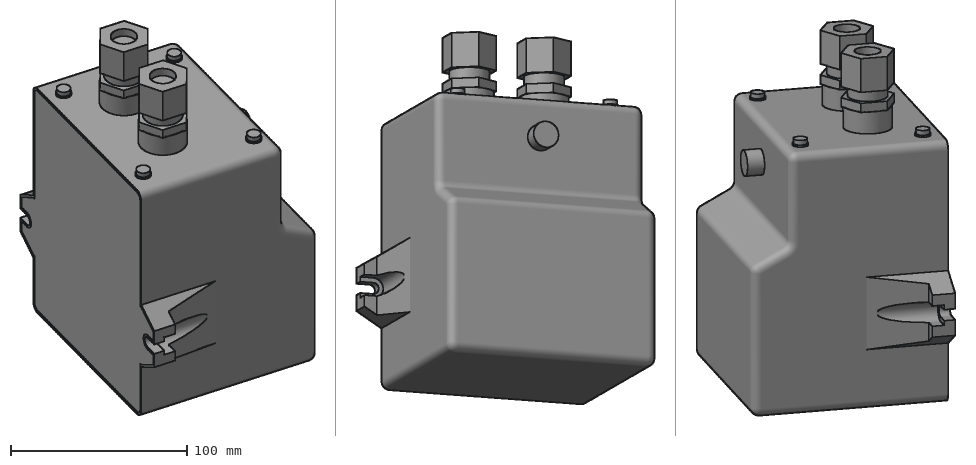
import cadquery as cq
import math

HOUSING_WIDTH = 125.0
HOUSING_DEPTH = 115.0
HOUSING_HEIGHT = 155.0
UPPER_DEPTH = 93.0
SHOULDER_TOP_Z = 99.9
SHOULDER_ANGLE = 27.0
EDGE_RADIUS = 5.0

RIM_WIDTH = 1.5
RECESS_DEPTH = 0.1

EAR_SPAN = 155.0
EAR_Z = 57.0
EAR_ROOT_HEIGHT = 43.0
EAR_TIP_HEIGHT = 25.0
EAR_THICKNESS = 13.5
EAR_OVERLAP = 10.0
EAR_LEDGE = 7.5
GUSSET_TOP_Y = 48.0
SLOT_CENTRE_X = 69.7
SLOT_WIDTH = 6.5
COUNTERBORE_WIDTH = 12.0
COUNTERBORE_FLOOR_Y = 6.5

GLAND_SPACING = 45.0
GLAND_Y = 36.5
GLAND_BASE_DIAMETER = 28.0
GLAND_BASE_HEIGHT = 13.0
GLAND_HEX_FLATS = 27.0
GLAND_COLLAR_HEIGHT = 5.5
GLAND_NECK_DIAMETER = 23.0
GLAND_NECK_HEIGHT = 6.5
GLAND_NUT_HEIGHT = 20.0
CABLE_HOLE_DIAMETER = 15.0
CABLE_HOLE_DEPTH = 5.0

SCREW_SPACING_X = 92.0
SCREW_ROWS_Y = (10.5, 82.5)
WASHER_DIAMETER = 9.0
WASHER_HEIGHT = 1.0
SCREW_HEAD_DIAMETER = 8.0
SCREW_HEIGHT = 3.8

BOSS_DIAMETER = 15.0
BOSS_LENGTH = 10.0
BOSS_Z = 132.0


def make_housing():
    """Stepped box, rounded on every edge except those of the mounting face."""
    shoulder_drop = (HOUSING_DEPTH - UPPER_DEPTH) * math.tan(math.radians(SHOULDER_ANGLE))
    block = (
        cq.Workplane("YZ")
        .moveTo(0, 0)
        .lineTo(HOUSING_DEPTH, 0)
        .lineTo(HOUSING_DEPTH, SHOULDER_TOP_Z - shoulder_drop)
        .lineTo(UPPER_DEPTH, SHOULDER_TOP_Z)
        .lineTo(UPPER_DEPTH, HOUSING_HEIGHT)
        .lineTo(0, HOUSING_HEIGHT)
        .close()
        .extrude(HOUSING_WIDTH / 2, both=True)
    )
    return block.edges("not(<Y)").fillet(EDGE_RADIUS)


def slot_cutter(width, start_y, end_y):
    """Round-ended cutter along Y, open at the tip of the +X ear."""
    length = EAR_SPAN / 2 - SLOT_CENTRE_X + width
    centre = (SLOT_CENTRE_X, start_y, EAR_Z)
    bore = cq.Workplane("XZ", origin=centre).circle(width / 2).extrude(start_y - end_y)
    channel = (
        cq.Workplane("XZ", origin=centre)
        .center(length / 2, 0)
        .rect(length, width)
        .extrude(start_y - end_y)
    )
    return bore.union(channel)


def ear_outline():
    """Tapered outline of the +X ear in the mounting plane, reaching into the housing."""
    wall_x = HOUSING_WIDTH / 2
    inner_x = wall_x - EAR_OVERLAP
    tip_x = EAR_SPAN / 2
    root = EAR_ROOT_HEIGHT / 2
    tip = EAR_TIP_HEIGHT / 2
    return (
        cq.Workplane("XZ", origin=(0, 0, EAR_Z))
        .polyline([(inner_x, -root), (wall_x, -root), (tip_x, -tip),
                   (tip_x, tip), (wall_x, root), (inner_x, root)])
        .close()
    )


def make_ear():
    """The +X ear: flat at the tip, rising to the housing wall as a sloping gusset."""
    wall_x = HOUSING_WIDTH / 2
    inner_x = wall_x - EAR_OVERLAP
    tip_x = EAR_SPAN / 2
    side_profile = (
        cq.Workplane("XY", origin=(0, 0, EAR_Z))
        .polyline([(inner_x, 0), (tip_x, 0), (tip_x, EAR_THICKNESS),
                   (tip_x - EAR_LEDGE, EAR_THICKNESS), (wall_x, GUSSET_TOP_Y),
                   (inner_x, GUSSET_TOP_Y)])
        .close()
        .extrude(EAR_ROOT_HEIGHT / 2, both=True)
    )
    return ear_outline().extrude(-GUSSET_TOP_Y).intersect(side_profile)


def mirrored(shape):
    """The shape together with its mirror image across X = 0."""
    return shape.union(shape.mirror("YZ"))


def make_enclosure():
    """Housing with both slotted ears."""
    slot = slot_cutter(SLOT_WIDTH, 0, GUSSET_TOP_Y)
    counterbore = slot_cutter(COUNTERBORE_WIDTH, COUNTERBORE_FLOOR_Y, GUSSET_TOP_Y)
    return make_housing().union(mirrored(make_ear())).cut(mirrored(slot.union(counterbore)))


def make_recess():
    """Cutter for the mounting-face recess: the outline inset by the rim width."""
    panel = (
        cq.Workplane("XZ", origin=(0, 0, HOUSING_HEIGHT / 2))
        .rect(HOUSING_WIDTH - 2 * RIM_WIDTH, HOUSING_HEIGHT - 2 * RIM_WIDTH)
        .extrude(-RECESS_DEPTH)
        .edges("|Y")
        .fillet(EDGE_RADIUS - RIM_WIDTH)
    )
    ear = ear_outline().offset2D(-RIM_WIDTH).extrude(-RECESS_DEPTH)
    slot_surround = slot_cutter(SLOT_WIDTH + 2 * RIM_WIDTH, 0, RECESS_DEPTH)
    return panel.union(mirrored(ear)).cut(mirrored(slot_surround))


def make_gland():
    """Cable gland standing on Z = 0: base, hex collar, neck and hex nut."""
    hex_corners = GLAND_HEX_FLATS / math.cos(math.pi / 6)
    collar_z = GLAND_BASE_HEIGHT
    neck_z = collar_z + GLAND_COLLAR_HEIGHT
    nut_z = neck_z + GLAND_NECK_HEIGHT
    top_z = nut_z + GLAND_NUT_HEIGHT

    def hexagon(z, height):
        prism = cq.Workplane("XY").polygon(6, hex_corners).extrude(height)
        return prism.rotate((0, 0, 0), (0, 0, 1), 90).translate((0, 0, z))

    base = cq.Workplane("XY").circle(GLAND_BASE_DIAMETER / 2).extrude(GLAND_BASE_HEIGHT)
    neck = (
        cq.Workplane("XY", origin=(0, 0, neck_z))
        .circle(GLAND_NECK_DIAMETER / 2)
        .extrude(GLAND_NECK_HEIGHT)
    )
    hole = (
        cq.Workplane("XY", origin=(0, 0, top_z))
        .circle(CABLE_HOLE_DIAMETER / 2)
        .extrude(-CABLE_HOLE_DEPTH)
    )
    collar = hexagon(collar_z, GLAND_COLLAR_HEIGHT)
    nut = hexagon(nut_z, GLAND_NUT_HEIGHT)
    return base.union(collar).union(neck).union(nut).cut(hole)


def make_screw():
    """Screw head on its washer, standing on Z = 0."""
    washer = cq.Workplane("XY").circle(WASHER_DIAMETER / 2).extrude(WASHER_HEIGHT)
    head = cq.Workplane("XY").circle(SCREW_HEAD_DIAMETER / 2).extrude(SCREW_HEIGHT)
    return washer.union(head)


def make_boss():
    """Round boss projecting from the upper wall along +Y."""
    return (
        cq.Workplane("XZ", origin=(0, UPPER_DEPTH, BOSS_Z))
        .circle(BOSS_DIAMETER / 2)
        .extrude(-BOSS_LENGTH)
    )


result = make_enclosure().cut(make_recess()).union(make_boss())
for side in (-1, 1):
    gland_position = (side * GLAND_SPACING / 2, GLAND_Y, HOUSING_HEIGHT)
    result = result.union(make_gland().translate(gland_position))
    for row_y in SCREW_ROWS_Y:
        screw_position = (side * SCREW_SPACING_X / 2, row_y, HOUSING_HEIGHT)
        result = result.union(make_screw().translate(screw_position))